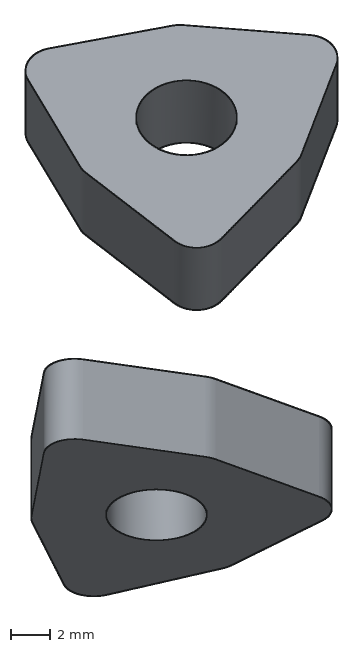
import cadquery as cq
import math

inscribed_radius = 12.7 / 2
thickness = 4.7625
bore_diameter = 5.16
nose_angle = 80.0
nose_radius = 1.5875
flank_blend_radius = 1.5875

nose_count = 3
nose_spacing = 360.0 / nose_count
first_nose_direction = -140.0
blunt_angle = 360.0 - nose_spacing - nose_angle


def corner_point(direction, included_angle):
    """Sharp corner between two flanks that touch the inscribed circle."""
    distance = inscribed_radius / math.sin(math.radians(included_angle / 2))
    angle = math.radians(direction)
    return (distance * math.cos(angle), distance * math.sin(angle))


nose_points = []
blunt_points = []
outline = []
for index in range(nose_count):
    nose_direction = first_nose_direction + index * nose_spacing
    nose = corner_point(nose_direction, nose_angle)
    blunt = corner_point(nose_direction + nose_spacing / 2, blunt_angle)
    nose_points.append(nose)
    blunt_points.append(blunt)
    outline += [nose, blunt]


def round_corners(body, points, radius):
    """Fillet the vertical edges that stand on the given outline points."""
    for x, y in points:
        selector = cq.selectors.NearestToPointSelector((x, y, thickness / 2))
        body = body.edges("|Z").edges(selector).fillet(radius)
    return body


insert = cq.Workplane("XY").polyline(outline).close().extrude(thickness)
insert = round_corners(insert, nose_points, nose_radius)
insert = round_corners(insert, blunt_points, flank_blend_radius)
bore = cq.Workplane("XY").circle(bore_diameter / 2).extrude(thickness)
result = insert.cut(bore)